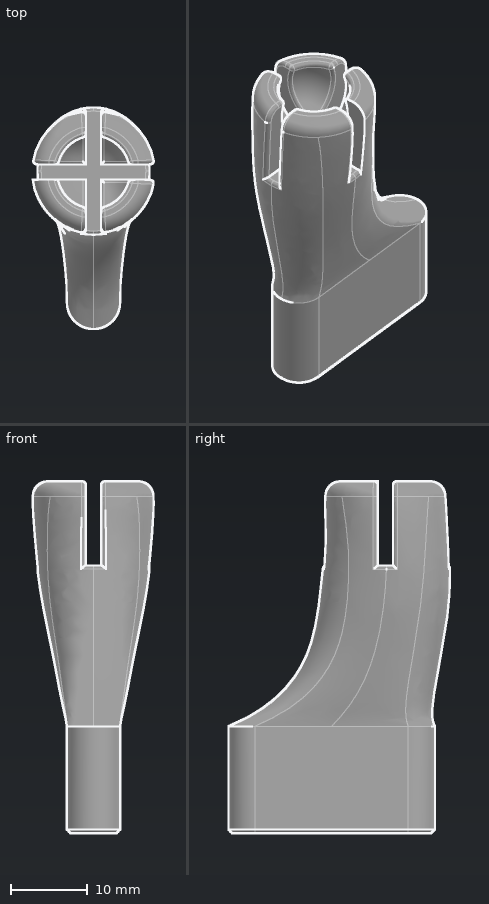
import cadquery as cq
import math

HEIGHT = 46.0

BASE_WIDTH = 7.0
BASE_HEIGHT = 14.0
BASE_FRONT = -20.5
BASE_BACK = 6.5
BASE_CHAMFER = 0.5

HEAD_RADIUS = 8.0
RIM_ROUND = 2.0
SLOT_WIDTH = 2.0
SLOT_DEPTH = 11.0
EDGE_ROUND = 0.5

BALL_RADIUS = 5.1
BALL_CENTER_DEPTH = 2.5

NECK_TOP = HEIGHT - RIM_ROUND
NECK_HEIGHT = NECK_TOP - BASE_HEIGHT

STADIUM_END_ANGLE = 90
CIRCLE_END_ANGLE = 45

TOLERANCE = 0.005

NECK_STATIONS = [
    (0.10, 4.1, -15.2, 6.2),
    (0.20, 4.7, -12.2, 6.65),
    (0.35, 5.55, -9.85, 7.5),
    (0.50, 6.5, -8.85, 8.2),
    (0.70, 7.4, -8.15, 8.45),
    (0.85, 7.8, -7.95, 8.3),
]


def stadium(width, front, back):
    """Round-ended outline, drawn as the same eight pieces as an oval."""
    r = width / 2
    return (
        cq.Workplane("XY")
        .moveTo(r, front + r)
        .lineTo(r, (front + back) / 2)
        .lineTo(r, back - r)
        .radiusArc((0, back), -r)
        .radiusArc((-r, back - r), -r)
        .lineTo(-r, (front + back) / 2)
        .lineTo(-r, front + r)
        .radiusArc((0, front), -r)
        .radiusArc((r, front + r), -r)
        .close()
        .val()
    )


def oval(half_width, front, back, end_angle):
    """Smooth oval of four tangent arcs; its end arcs span end_angle each side of the Y axis."""
    middle = (front + back) / 2
    half_length = (back - front) / 2
    sine = math.sin(math.radians(end_angle))
    cosine = math.cos(math.radians(end_angle))
    ratio = cosine / (1 - sine)
    end_radius = (ratio * half_width - half_length) / (ratio - 1)
    join_x = end_radius * sine
    join_y = half_length - end_radius * (1 - cosine)
    side_radius = end_radius + (half_width - end_radius) / (1 - sine)
    return (
        cq.Workplane("XY")
        .moveTo(join_x, middle - join_y)
        .radiusArc((half_width, middle), -side_radius)
        .radiusArc((join_x, middle + join_y), -side_radius)
        .radiusArc((0, back), -end_radius)
        .radiusArc((-join_x, middle + join_y), -end_radius)
        .radiusArc((-half_width, middle), -side_radius)
        .radiusArc((-join_x, middle - join_y), -side_radius)
        .radiusArc((0, front), -end_radius)
        .radiusArc((join_x, middle - join_y), -end_radius)
        .close()
        .val()
    )


def make_base():
    length = BASE_BACK - BASE_FRONT
    return (
        cq.Workplane("XY")
        .center(0, (BASE_FRONT + BASE_BACK) / 2)
        .slot2D(length, BASE_WIDTH, 90)
        .extrude(BASE_HEIGHT)
        .faces("<Z")
        .chamfer(BASE_CHAMFER)
    )


def make_neck():
    """Loft from the base outline up to the round head."""
    wires = [stadium(BASE_WIDTH, BASE_FRONT, BASE_BACK).moved(cq.Location((0, 0, BASE_HEIGHT)))]
    for fraction, half_width, front, back in NECK_STATIONS:
        end_angle = STADIUM_END_ANGLE + (CIRCLE_END_ANGLE - STADIUM_END_ANGLE) * fraction
        z = BASE_HEIGHT + fraction * NECK_HEIGHT
        wires.append(oval(half_width, front, back, end_angle).moved(cq.Location((0, 0, z))))
    top = oval(HEAD_RADIUS, -HEAD_RADIUS, HEAD_RADIUS, CIRCLE_END_ANGLE)
    wires.append(top.moved(cq.Location((0, 0, NECK_TOP))))
    return cq.Workplane(cq.Solid.makeLoft(wires))


def make_rim():
    """Flat-topped disc with a quarter-round outer edge."""
    return (
        cq.Workplane("XZ")
        .moveTo(0, NECK_TOP)
        .lineTo(HEAD_RADIUS, NECK_TOP)
        .radiusArc((HEAD_RADIUS - RIM_ROUND, HEIGHT), -RIM_ROUND)
        .lineTo(0, HEIGHT)
        .close()
        .revolve()
    )


def cut_socket(body):
    """Ball seat open at the top, with a rounded mouth."""
    ball = cq.Workplane("XY", origin=(0, 0, HEIGHT - BALL_CENTER_DEPTH)).sphere(BALL_RADIUS)
    mouth = cq.selectors.RadiusNthSelector(0)
    return body.cut(ball).faces(">Z").edges(mouth).fillet(EDGE_ROUND)


def make_slots():
    """Two crossed slots, open at the top and on all sides."""
    slots = cq.Workplane("XY")
    span = 4 * HEAD_RADIUS
    for length_x, length_y in ((span, SLOT_WIDTH), (SLOT_WIDTH, span)):
        slots = slots.union(
            cq.Workplane("XY", origin=(0, 0, HEIGHT - SLOT_DEPTH))
            .rect(length_x, length_y)
            .extrude(2 * SLOT_DEPTH)
        )
    return slots


def is_slot_rim(edge):
    """True for the outer edges of the slots, not their inside corners.

    The left front quarter keeps a sharp edge on its side of the X slot.
    """
    box = edge.BoundingBox()
    center = edge.Center()
    half_slot = SLOT_WIDTH / 2
    on_y_slot_wall = box.xlen < TOLERANCE and abs(abs(center.x) - half_slot) < TOLERANCE
    on_x_slot_wall = box.ylen < TOLERANCE and abs(abs(center.y) - half_slot) < TOLERANCE
    on_floor = box.zlen < TOLERANCE and abs(center.z - (HEIGHT - SLOT_DEPTH)) < TOLERANCE
    if on_x_slot_wall and center.x < 0 and center.y < 0:
        return False
    return [on_y_slot_wall, on_x_slot_wall, on_floor].count(True) == 1


body = make_base().union(make_neck()).union(make_rim())
slotted = cut_socket(body).cut(make_slots())
slot_rim = [edge for edge in slotted.edges().vals() if is_slot_rim(edge)]
result = slotted.newObject(slot_rim).fillet(EDGE_ROUND)